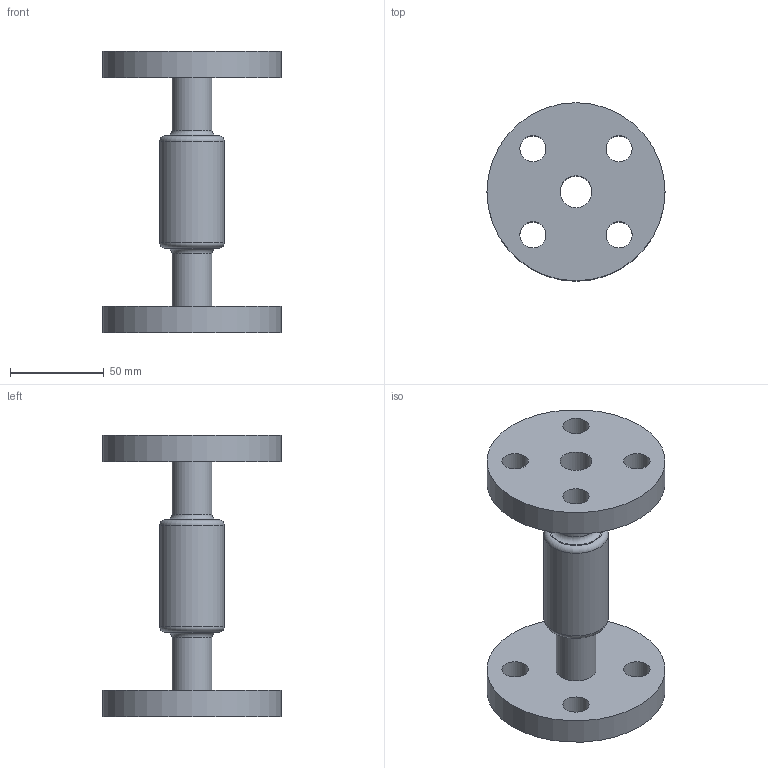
import cadquery as cq

total_length = 150.0
half_length = total_length / 2

flange_diameter = 95.0
flange_thickness = 14.0
bolt_circle_diameter = 65.0
bolt_hole_diameter = 14.0
bolt_hole_count = 4
first_bolt_angle = 45.0

pipe_diameter = 21.3
bore_diameter = 17.0

housing_diameter = 34.5
housing_length = 60.0
housing_edge_radius = 3.0
neck_fillet_radius = 3.0


def make_flange(bottom_z):
    """Round flange with a ring of bolt holes, standing on bottom_z."""
    return (
        cq.Workplane("XY", origin=(0, 0, bottom_z))
        .circle(flange_diameter / 2)
        .polarArray(bolt_circle_diameter / 2, first_bolt_angle, 360, bolt_hole_count)
        .circle(bolt_hole_diameter / 2)
        .extrude(flange_thickness)
    )


def make_pipe():
    """Solid pipe body over the full length, centred on the origin."""
    return cq.Workplane("XY", origin=(0, 0, -half_length)).circle(pipe_diameter / 2).extrude(total_length)


def make_housing():
    """Housing with rounded rims and concave fillets down to the pipe, as one revolved profile."""
    pipe_radius = pipe_diameter / 2
    housing_radius = housing_diameter / 2
    end_z = housing_length / 2
    neck_z = end_z + neck_fillet_radius
    neck_radius = pipe_radius + neck_fillet_radius
    face_radius = housing_radius - housing_edge_radius
    side_z = end_z - housing_edge_radius

    return (
        cq.Workplane("XZ")
        .moveTo(0, -neck_z)
        .lineTo(pipe_radius, -neck_z)
        .radiusArc((neck_radius, -end_z), neck_fillet_radius)
        .lineTo(face_radius, -end_z)
        .radiusArc((housing_radius, -side_z), -housing_edge_radius)
        .lineTo(housing_radius, side_z)
        .radiusArc((face_radius, end_z), -housing_edge_radius)
        .lineTo(neck_radius, end_z)
        .radiusArc((pipe_radius, neck_z), neck_fillet_radius)
        .lineTo(0, neck_z)
        .close()
        .revolve(360, (0, 0, 0), (0, 1, 0))
    )


def make_bore():
    """Straight bore through the whole part."""
    return cq.Workplane("XY", origin=(0, 0, -half_length)).circle(bore_diameter / 2).extrude(total_length)


body = make_pipe().union(make_housing())
for flange_bottom_z in (-half_length, half_length - flange_thickness):
    body = body.union(make_flange(flange_bottom_z))

result = body.cut(make_bore())